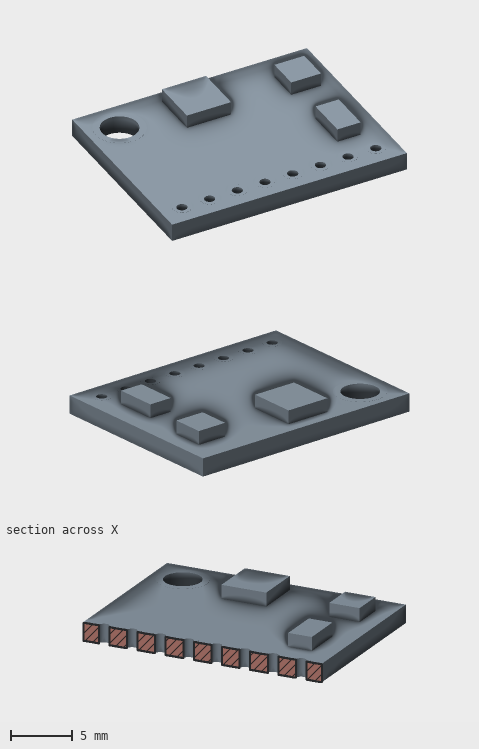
import cadquery as cq

board_width = 17.0
board_length = 21.5
board_thickness = 1.6

pin_count = 8
pin_pitch = 2.54
pin_hole_diameter = 0.9
pin_pad_diameter = 1.6
pin_edge_distance = 1.8
pin_row_x = board_width / 2 - pin_edge_distance

mount_hole_diameter = 3.2
mount_pad_diameter = 4.4
mount_x = -5.68
mount_y = -7.93

pad_height = 0.01

chip_height = 1.2
small_chip = (-4.67, 7.85, 2.85, 2.73)
oblong_chip = (2.55, 7.65, 3.72, 2.13)
large_chip = (-5.2, -1.15, 4.25, 4.05)


def make_board():
    return cq.Workplane("XY").box(
        board_width, board_length, board_thickness, centered=(True, True, False)
    )


def add_chip(body, chip):
    x, y, width, length = chip
    block = (
        cq.Workplane("XY", origin=(x, y, board_thickness))
        .rect(width, length)
        .extrude(chip_height)
    )
    return body.union(block)


def add_plated_hole(body, x, y, hole_diameter, pad_diameter):
    """Raise a thin round pad on the top face, then drill through pad and board."""
    pad_top = board_thickness + pad_height
    pad = cq.Workplane("XY", origin=(x, y, board_thickness)).circle(pad_diameter / 2).extrude(pad_height)
    hole = cq.Workplane("XY", origin=(x, y, 0)).circle(hole_diameter / 2).extrude(pad_top)
    return body.union(pad).cut(hole)


result = make_board()

for chip in (small_chip, oblong_chip, large_chip):
    result = add_chip(result, chip)

for index in range(pin_count):
    pin_y = (index - (pin_count - 1) / 2) * pin_pitch
    result = add_plated_hole(result, pin_row_x, pin_y, pin_hole_diameter, pin_pad_diameter)

result = add_plated_hole(result, mount_x, mount_y, mount_hole_diameter, mount_pad_diameter)